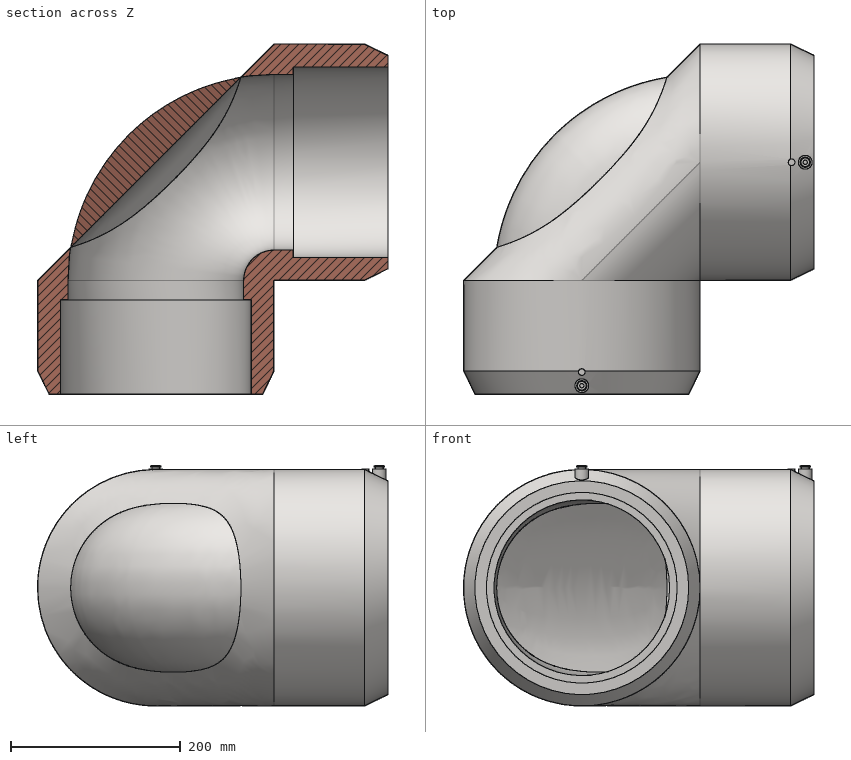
import cadquery as cq
import math

overall = 413.5
outer_diameter = 279.0
outer_radius = outer_diameter / 2
socket_length = overall - outer_diameter
chamfer_length = 27.5
mouth_diameter = 252.2

socket_diameter = 225.0
socket_depth = 111.5
bore_diameter = 207.0

bend_radius = outer_radius

top_height = 144.5
terminal_setback = 10.5
shroud_diameter = 16.0
shroud_top = 140.0
contact_diameter = 9.5
collar_diameter = 12.0
collar_height = 1.0
collar_chamfer = 1.0
tip_hole_diameter = 5.0
tip_hole_depth = 2.5
indicator_setback = 26.5
indicator_diameter = 8.0
indicator_top = 140.0
root_height = 120.0

axis_x = outer_radius
axis_y = overall - outer_radius
corner_x = outer_diameter
corner_y = socket_length


def place_on_x_socket(shape):
    """Turn a feature of the -Y socket about Z onto the +X socket."""
    turned = shape.rotate((0, 0, 0), (0, 0, 1), 90)
    return turned.translate((overall, axis_y - axis_x, 0))


def cylinder_along_y(diameter, start, length):
    plane = cq.Plane(origin=(axis_x, start, 0), xDir=(1, 0, 0), normal=(0, 1, 0))
    return cq.Workplane(plane).circle(diameter / 2).extrude(length)


def slanted_body():
    """Elliptic prism at 45 degrees whose ends are circles in the inner planes of the two sockets."""
    along = cq.Vector(1, 1, 0)
    across = cq.Vector(-1, 1, 0)
    section = cq.Plane(origin=(axis_x - overall, corner_y - overall, 0), xDir=across, normal=along)
    half_width = outer_radius / math.sqrt(2)
    prism = cq.Workplane(section).ellipse(half_width, outer_radius).extrude(3 * overall)
    between_sockets = cq.Workplane("XY").box(overall, overall, overall).translate(
        (corner_x - overall / 2, corner_y + overall / 2, 0)
    )
    return prism.intersect(between_sockets)


def curved_core():
    """Quarter bend that joins the two inner bores and breaks out of the slanted wall."""
    start = cq.Workplane("XZ", origin=(axis_x, corner_y, 0)).circle(bore_diameter / 2)
    return start.revolve(90, (bend_radius, 0), (bend_radius, -1))


def socket_body():
    profile = [
        (0, 0),
        (mouth_diameter / 2, 0),
        (outer_radius, chamfer_length),
        (outer_radius, socket_length),
        (0, socket_length),
    ]
    body = cq.Workplane("XY").polyline(profile).close().revolve(360, (0, 0), (0, 1))
    return body.translate((axis_x, 0, 0))


def post(diameter, setback, bottom, top):
    base = cq.Workplane("XY").workplane(offset=bottom).center(axis_x, setback)
    return base.circle(diameter / 2).extrude(top - bottom)


def terminal():
    collar_bottom = top_height - collar_height - collar_chamfer
    collar = post(collar_diameter, terminal_setback, collar_bottom, top_height)
    collar = collar.faces(">Z").chamfer(collar_chamfer)
    contact = post(contact_diameter, terminal_setback, root_height, top_height)
    shroud = post(shroud_diameter, terminal_setback, root_height, shroud_top)
    tip_hole = post(tip_hole_diameter, terminal_setback, top_height - tip_hole_depth, top_height)
    return shroud.union(contact).union(collar).cut(tip_hole)


def make_housing():
    indicator = post(indicator_diameter, indicator_setback, root_height, indicator_top)
    socket = socket_body().union(terminal()).union(indicator)
    socket_bore = cylinder_along_y(socket_diameter, 0, socket_depth)
    inner_bore = cylinder_along_y(bore_diameter, 0, socket_length)
    housing = slanted_body()
    for end in (socket, place_on_x_socket(socket)):
        housing = housing.union(end, clean=False)
    for bore in (socket_bore, inner_bore):
        housing = housing.cut(bore).cut(place_on_x_socket(bore))
    return housing.cut(curved_core())


def make_bulge():
    """Part of the curved core that stands out of the slanted wall and fills its opening."""
    return curved_core().cut(slanted_body())


housing = make_housing()
bulge = make_bulge()
result = cq.Compound.makeCompound([housing.val(), bulge.val()])